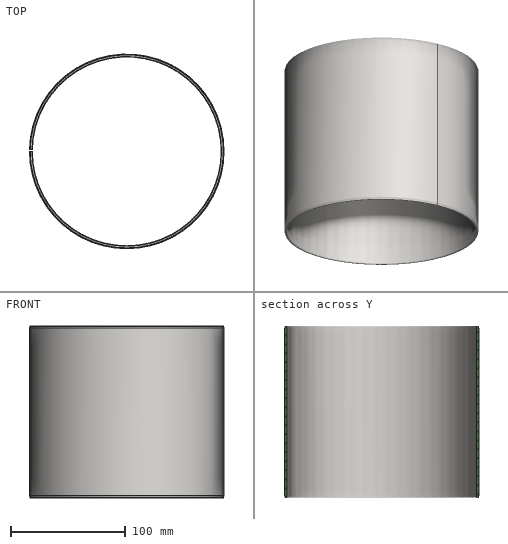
import cadquery as cq
import math

outer_diameter = 170.0
height = 150.0
wall_thickness = 2.5
outer_bevel_height = 1.8
outer_bevel_angle = 20.0
bore_bevel_height = 0.6
bore_bevel_angle = 30.0
slit_angle = 1.0

outer_radius = outer_diameter / 2
inner_radius = outer_radius - wall_thickness
rim_outer_radius = outer_radius - outer_bevel_height * math.tan(math.radians(outer_bevel_angle))
rim_inner_radius = inner_radius + bore_bevel_height * math.tan(math.radians(bore_bevel_angle))


def make_sleeve():
    """Thin tube about Z, with both rims bevelled outside and in the bore."""
    wall_section = [
        (inner_radius, bore_bevel_height),
        (rim_inner_radius, 0),
        (rim_outer_radius, 0),
        (outer_radius, outer_bevel_height),
        (outer_radius, height - outer_bevel_height),
        (rim_outer_radius, height),
        (rim_inner_radius, height),
        (inner_radius, height - bore_bevel_height),
    ]
    return cq.Workplane("XZ").polyline(wall_section).close().revolve(360, (0, 0), (0, 1))


def make_slit_cutter():
    """Full-height wedge from the tube axis that opens the wall on the -X side, from Y = 0 towards +Y."""
    wedge_length = outer_radius + wall_thickness
    wedge_width = wedge_length * math.tan(math.radians(slit_angle))
    wedge_outline = [(0, 0), (-wedge_length, 0), (-wedge_length, wedge_width)]
    return cq.Workplane("XY").polyline(wedge_outline).close().extrude(height)


result = make_sleeve().cut(make_slit_cutter())